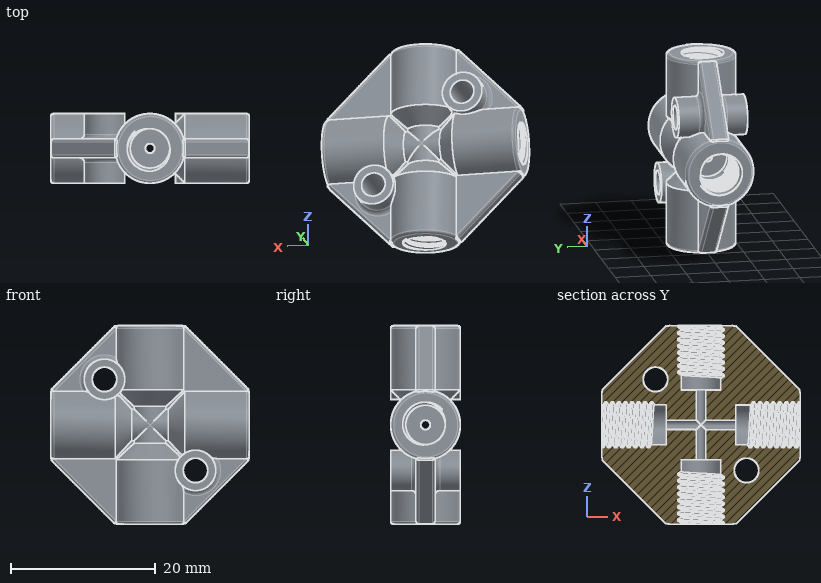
import cadquery as cq
import math

arm_reach = 13.72
arm_radius = 4.83
core_radius = 2.55
web_thickness = 2.63
web_reach = 13.65
web_end_half_width = 4.85
edge_fillet = 0.4

boss_offset = 6.28
boss_radius = 2.8
boss_hole_radius = 1.67
boss_fillet = 0.63

bore_radius = 2.72
thread_root_radius = 3.15
thread_pitch = 0.9
groove_root_width = 0.22
groove_mouth_width = 0.7
groove_overlap = 0.08
thread_start_angle = 230.0
passage_radius = 0.63

arm_start = arm_radius
taper_start = core_radius
bore_floor = arm_start
half_web = web_thickness / 2


def four_around_y(shape):
    """Four copies of a shape, a quarter turn apart about the Y axis."""
    copies = cq.Workplane("XY")
    for quarter in range(4):
        copies = copies.add(shape.rotate((0, 0, 0), (0, 1, 0), -90 * quarter))
    return copies.vals()


def make_arm():
    """The +Z arm: slim core, 45 degree taper, then the full cylinder with a rounded rim."""
    return (
        cq.Workplane("XZ")
        .moveTo(0, 0)
        .lineTo(core_radius, 0)
        .lineTo(core_radius, taper_start)
        .lineTo(arm_radius, arm_start)
        .lineTo(arm_radius, arm_reach)
        .lineTo(0, arm_reach)
        .close()
        .revolve(360, (0, 0, 0), (0, 1, 0))
        .faces(">Z")
        .edges()
        .fillet(edge_fillet)
        .val()
    )


def make_web():
    """Octagonal web whose short sides sit just inside the arm ends."""
    far, near = web_reach, web_end_half_width
    quarter = [(far, near), (near, far)]
    upper = quarter + [(-x, z) for x, z in reversed(quarter)]
    corners = upper + [(-x, -z) for x, z in upper]
    return (
        cq.Workplane("XZ")
        .polyline(corners)
        .close()
        .extrude(half_web, both=True)
        .faces("<Y or >Y")
        .edges()
        .fillet(edge_fillet)
    )


def make_boss():
    """Boss along Y through the web, with a concave fillet where it meets each web face."""
    foot_radius = boss_radius + boss_fillet
    fillet_top = half_web + boss_fillet
    sag = boss_fillet * (1 - math.sqrt(0.5))
    half = (
        cq.Workplane("XY")
        .moveTo(0, 0)
        .lineTo(foot_radius, 0)
        .lineTo(foot_radius, half_web)
        .threePointArc((boss_radius + sag, half_web + sag), (boss_radius, fillet_top))
        .lineTo(boss_radius, arm_radius)
        .lineTo(0, arm_radius)
        .close()
        .revolve(360, (0, 0, 0), (0, 1, 0))
    )
    return half.union(half.mirror("XZ"))


def make_thread_groove():
    """Right-hand helical V groove of the +Z port, running out through its mouth."""
    flank_slope = (groove_mouth_width - groove_root_width) / 2 / (thread_root_radius - bore_radius)
    half_root = groove_root_width / 2
    inner_radius = bore_radius - groove_overlap
    half_inner = groove_mouth_width / 2 + flank_slope * groove_overlap
    profile = (
        (inner_radius, -half_inner),
        (thread_root_radius, -half_root),
        (thread_root_radius, half_root),
        (inner_radius, half_inner),
    )
    turns = math.floor((arm_reach - bore_floor) / thread_pitch)
    groove_height = turns * thread_pitch
    groove_base = arm_reach + thread_pitch - groove_height

    helices = []
    for radius, height in profile:
        helix = cq.Wire.makeHelix(thread_pitch, groove_height, radius)
        helices.append(helix.translate(cq.Vector(0, 0, height)))
    faces = []
    for lower, upper in zip(helices, helices[1:] + helices[:1]):
        faces.append(cq.Face.makeRuledSurface(lower, upper))
    for end in (0, 1):
        corners = [helix.positionAt(end) for helix in helices]
        faces.append(cq.Face.makeFromWires(cq.Wire.makePolygon(corners, close=True)))
    groove = cq.Solid.makeSolid(cq.Shell.makeShell(faces))
    return (
        groove.rotate(cq.Vector(0, 0, 0), cq.Vector(0, 0, 1), thread_start_angle)
        .translate(cq.Vector(0, 0, groove_base))
    )


def make_bore():
    """Plain bore of the +Z port plus the narrow passage to the centre."""
    bore_depth = arm_reach - bore_floor
    bore = cq.Workplane("XY").workplane(offset=bore_floor).circle(bore_radius).extrude(bore_depth)
    passage = cq.Workplane("XY").circle(passage_radius).extrude(arm_reach)
    return bore.union(passage).val()


body = make_web()
for arm in four_around_y(make_arm()):
    body = body.union(arm)

boss_centres = ((-boss_offset, boss_offset), (boss_offset, -boss_offset))
for x, z in boss_centres:
    body = body.union(make_boss().translate((x, 0, z)))

boss_holes = (
    cq.Workplane("XZ")
    .pushPoints(boss_centres)
    .circle(boss_hole_radius)
    .extrude(arm_radius, both=True)
)
body = body.cut(boss_holes)

for bore in four_around_y(make_bore()):
    body = body.cut(bore)
for groove in four_around_y(make_thread_groove()):
    body = body.cut(groove)

result = body